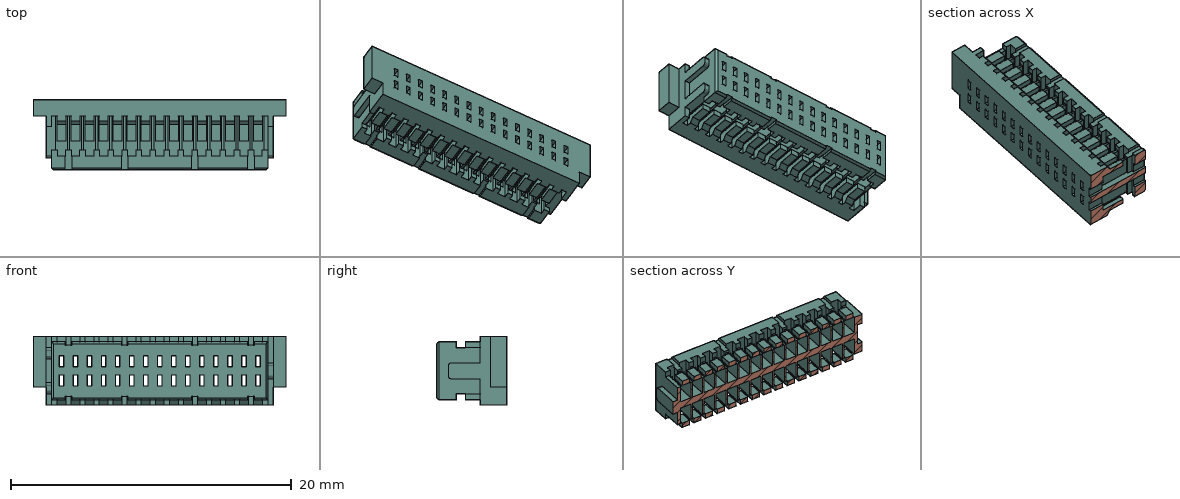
import cadquery as cq


total_width = 18.0
total_depth = 5.0
total_height = 4.9
top_z = total_height / 2

block_width = 16.2
block_front_y = 3.1
flange_front_y = 3.83
flange_height = 3.62

body_width = 15.44
body_height = 4.15
body_top_z = body_height / 2
nose_chamfer = 0.15

paired_rail_outer_z = 1.65
paired_rail_inner_z = 0.83
single_rail_height = 1.14
rail_front_y = 0.84
rail_radius = 0.2

contact_count = 15
pitch = 1.0
contact_xs = [(i - (contact_count - 1) / 2) * pitch for i in range(contact_count)]

window_width = 0.3
window_bottom_z = 0.3
window_height = 0.77

ledge_z = paired_rail_outer_z
rib_width = 0.17
cavity_width = pitch - rib_width
cavity_back_y = flange_front_y

band_back_y = 1.4
notch_front_y = 1.0
notch_width = 0.6

finger_width = 0.64
finger_tip_y = 2.05
slope_front_y = 3.22
slope_back_y = 3.5

groove_xs = (-6.5, -2.5, 2.5, 6.5)
groove_width = 0.48
groove_depth = 0.25


def box(width, x_center, y_front, y_back, z_low, z_high):
    """Box centred on x_center that spans the given Y and Z ranges."""
    return cq.Workplane("XY").box(
        width, y_back - y_front, z_high - z_low, centered=(True, False, False)
    ).translate((x_center, y_front, z_low))


def with_mirror(shape):
    """The shape together with its mirror image below the Z = 0 plane."""
    return shape.union(shape.mirror("XY"))


def make_shell():
    """Plug body with chamfered nose, back block and flange."""
    body = box(body_width, 0, 0, block_front_y, -body_top_z, body_top_z)
    body = body.faces("<Y").chamfer(nose_chamfer)
    block = box(block_width, 0, block_front_y, total_depth, -top_z, top_z)
    flange = box(total_width, 0, flange_front_y, total_depth, top_z - flange_height, top_z)
    return body.union(block).union(flange)


def make_rail(side, z_low, z_high):
    """One rail rounded at its front end; side is -1 for the -X face and 1 for the +X face."""
    rail_width = (block_width - body_width) / 2
    rail_x = side * (block_width + body_width) / 4
    rail = box(rail_width, rail_x, rail_front_y, block_front_y, z_low, z_high)
    return rail.faces("<Y").edges("|X").fillet(rail_radius)


def make_rails():
    """The keying rails, which differ between the two ends."""
    pair = with_mirror(make_rail(-1, paired_rail_inner_z, paired_rail_outer_z))
    return pair.union(make_rail(1, -single_rail_height / 2, single_rail_height / 2))


def make_cavity(x):
    """Space for one contact: cavity, its notch into the front band, and its through window."""
    cavity = box(cavity_width, x, band_back_y, cavity_back_y, window_bottom_z, ledge_z)
    notch = box(notch_width, x, notch_front_y, band_back_y, window_bottom_z, body_top_z)
    window = box(window_width, x, 0, total_depth, window_bottom_z, window_bottom_z + window_height)
    return cavity.union(notch).union(window)


def make_groove(x):
    """One keying groove across the top of the front band."""
    return box(groove_width, x, 0, band_back_y, body_top_z - groove_depth, body_top_z)


def make_row_cuts():
    """All material removed for the upper row, starting with the recess down to the ledge."""
    cuts = box(body_width, 0, band_back_y, cavity_back_y, ledge_z, top_z)
    for x in contact_xs:
        cuts = cuts.union(make_cavity(x))
    for x in groove_xs:
        cuts = cuts.union(make_groove(x))
    return cuts


def make_fingers():
    """Upper locking fingers, stepping down from the back wall over a slope."""
    profile = [
        (cavity_back_y, ledge_z),
        (finger_tip_y, ledge_z),
        (finger_tip_y, body_top_z),
        (slope_front_y, body_top_z),
        (slope_back_y, top_z),
        (cavity_back_y, top_z),
    ]
    finger = cq.Workplane("YZ").polyline(profile).close().extrude(finger_width / 2, both=True)
    fingers = cq.Workplane("XY")
    for x in contact_xs:
        fingers = fingers.add(finger.translate((x, 0, 0)))
    return fingers.combine()


housing = make_shell().union(make_rails())
housing = housing.cut(with_mirror(make_row_cuts()))
result = housing.union(with_mirror(make_fingers()))